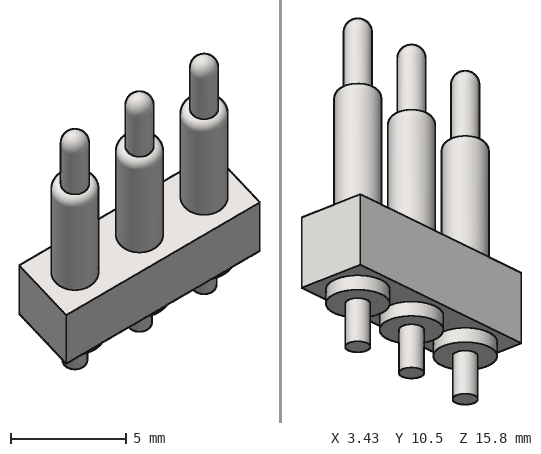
import cadquery as cq

pin_count = 3
pin_pitch = 3.487

housing_width = 3.43
housing_length = pin_count * pin_pitch
housing_height = 3.40

tail_diameter = 1.10
tail_length = 2.08
flange_diameter = 2.77
flange_thickness = 0.69
barrel_diameter = 2.07
barrel_rise = 6.18

plunger_diameter = 1.25
plunger_length = 3.43

flange_bottom = -flange_thickness
tail_bottom = flange_bottom - tail_length
barrel_top = housing_height + barrel_rise
barrel_rim_fillet = (barrel_diameter - plunger_diameter) / 2

pin_positions = [(0, (i - (pin_count - 1) / 2) * pin_pitch) for i in range(pin_count)]


def make_housing():
    """Rectangular block with one through hole per barrel."""
    block = cq.Workplane("XY").box(
        housing_width, housing_length, housing_height, centered=(True, True, False)
    )
    holes = (
        cq.Workplane("XY")
        .pushPoints(pin_positions)
        .circle(barrel_diameter / 2)
        .extrude(housing_height)
    )
    return block.cut(holes).solids()


def make_barrel(position):
    """Stepped round barrel with a rounded top rim."""
    sleeve = (
        cq.Workplane("XY")
        .circle(barrel_diameter / 2)
        .extrude(barrel_top)
        .faces(">Z")
        .edges()
        .fillet(barrel_rim_fillet)
    )
    flange = (
        cq.Workplane("XY")
        .workplane(offset=flange_bottom)
        .circle(flange_diameter / 2)
        .extrude(flange_thickness)
    )
    tail = (
        cq.Workplane("XY")
        .workplane(offset=tail_bottom)
        .circle(tail_diameter / 2)
        .extrude(tail_length)
    )
    return sleeve.union(flange).union(tail).solids().translate((*position, 0))


def make_plunger(position):
    """Rod revolved from a half profile whose tip is a quarter circle."""
    radius = plunger_diameter / 2
    shoulder = plunger_length - radius
    rod = (
        cq.Workplane("XZ")
        .lineTo(radius, 0)
        .lineTo(radius, shoulder)
        .radiusArc((0, plunger_length), -radius)
        .close()
        .revolve(360, (0, 0, 0), (0, 1, 0))
    )
    return rod.translate((*position, barrel_top))


housing = make_housing()
barrels = [make_barrel(position) for position in pin_positions]
plungers = [make_plunger(position) for position in pin_positions]

result = cq.Compound.makeCompound(
    [
        housing.val(),
        *[barrel.val() for barrel in barrels],
        *[plunger.val() for plunger in plungers],
    ]
)